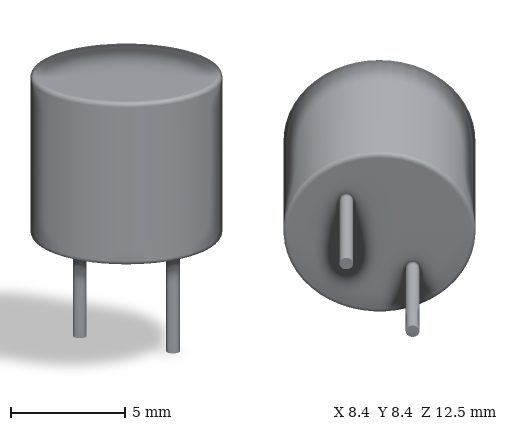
import cadquery as cq

total_height = 12.5
body_diameter = 8.4
body_height = 7.5
edge_radius = 0.2
pin_diameter = 0.6
pin_spacing = 4.6
pin_length = total_height - body_height


def make_body():
    """Can with its base at Z = 0 and both rims rounded."""
    can = cq.Workplane("XY").circle(body_diameter / 2).extrude(body_height)
    return can.faces("<Z or >Z").edges().fillet(edge_radius)


def make_pins():
    """Pair of pins along X, hanging from the base of the can."""
    pin_centers = [(-pin_spacing / 2, 0), (pin_spacing / 2, 0)]
    return (
        cq.Workplane("XY")
        .pushPoints(pin_centers)
        .circle(pin_diameter / 2)
        .extrude(-pin_length)
    )


result = make_body().union(make_pins())